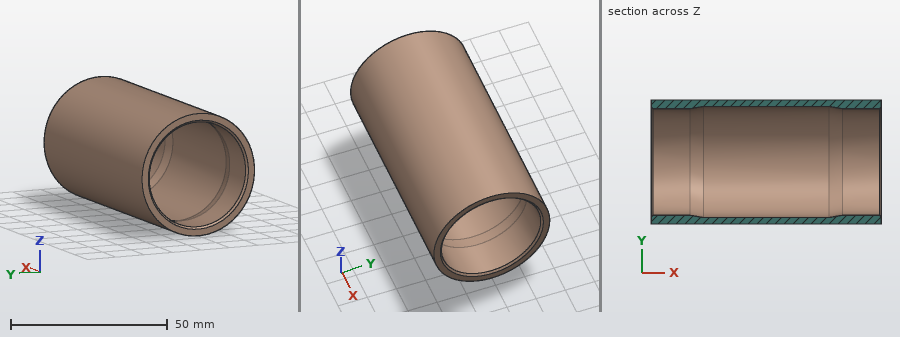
import cadquery as cq

length = 73.5
outer_radius = 19.85

land_radius = 17.0
mouth_chamfer = 0.65
middle_radius = 17.7
land_end_depth = 12.5
taper_length = 4.25

half_length = length / 2
land_start = half_length - mouth_chamfer
land_end = half_length - land_end_depth
middle_end = land_end - taper_length


def revolved_about_x(profile):
    """Turn a closed (axial, radial) profile about the X axis."""
    return profile.close().revolve(360, (0, 0, 0), (1, 0, 0))


result = revolved_about_x(
    cq.Workplane("XY")
    .moveTo(-half_length, outer_radius)
    .lineTo(half_length, outer_radius)
    .lineTo(half_length, land_radius + mouth_chamfer)
    .lineTo(land_start, land_radius)
    .lineTo(land_end, land_radius)
    .lineTo(middle_end, middle_radius)
    .lineTo(-middle_end, middle_radius)
    .lineTo(-land_end, land_radius)
    .lineTo(-land_start, land_radius)
    .lineTo(-half_length, land_radius + mouth_chamfer)
)